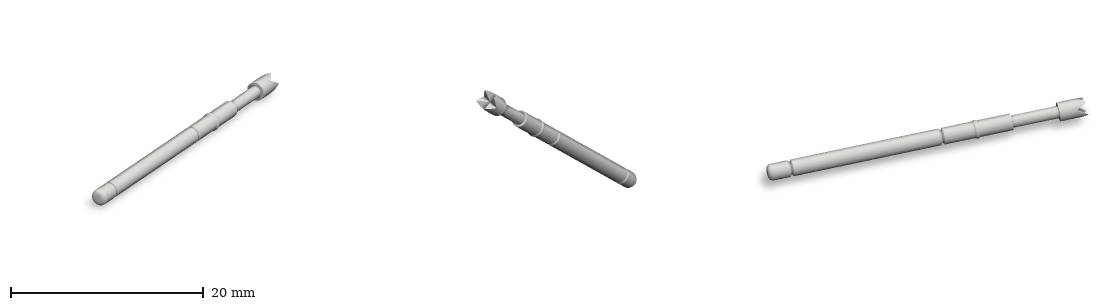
import cadquery as cq
import math

total_length = 34.0

head_diameter = 2.0
head_radius = head_diameter / 2
head_length = 3.0
head_start = total_length - head_length
stem_radius = 0.65
stem_length = 5.0

barrel_radius = 0.9
barrel_length = head_start - stem_length
tail_fillet = 0.5

ring_radius = 1.0
ring_width = 0.5
ring_position = 22.25

groove_depth = 0.25
groove_width = 0.4
groove_positions = (2.48, 18.55)

notch_included_angle = 60
notch_directions = (45, 135)
notch_half_width = head_radius * math.sin(math.radians(45))
notch_depth = notch_half_width / math.tan(math.radians(notch_included_angle / 2))


def make_rod(radius, start, length):
    """Cylinder around the Y axis, running from Y = start toward +Y."""
    return cq.Workplane("XZ", origin=(0, start, 0)).circle(radius).extrude(-length)


def revolve_about_axis(profile):
    """Turn an open (radius, Y) outline into a solid around the Y axis."""
    return profile.close().revolve(360, (0, 0, 0), (0, 1, 0))


def make_barrel():
    barrel = make_rod(barrel_radius, 0, barrel_length)
    return barrel.faces("<Y").edges().fillet(tail_fillet)


def make_plunger():
    stem = make_rod(stem_radius, barrel_length, stem_length)
    head = make_rod(head_radius, head_start, head_length)
    return stem.union(head)


def make_press_ring():
    low = ring_position - ring_width / 2
    high = ring_position + ring_width / 2
    profile = (
        cq.Workplane("XY")
        .moveTo(0, low)
        .lineTo(barrel_radius, low)
        .threePointArc((ring_radius, ring_position), (barrel_radius, high))
        .lineTo(0, high)
    )
    return revolve_about_axis(profile)


def make_groove_cutter(position):
    profile = cq.Workplane("XY").polyline([
        (barrel_radius, position - groove_width / 2),
        (barrel_radius, position + groove_width / 2),
        (barrel_radius - groove_depth, position),
    ])
    return revolve_about_axis(profile)


def make_notch_cutter(direction):
    """V prism across the whole head, turned about the Y axis."""
    prism = (
        cq.Workplane("XY")
        .polyline([
            (-notch_half_width, total_length),
            (notch_half_width, total_length),
            (0, total_length - notch_depth),
        ])
        .close()
        .extrude(2 * head_radius, both=True)
    )
    return prism.rotate((0, 0, 0), (0, 1, 0), direction)


result = make_barrel().union(make_plunger()).union(make_press_ring())
for groove_position in groove_positions:
    result = result.cut(make_groove_cutter(groove_position))
for notch_direction in notch_directions:
    result = result.cut(make_notch_cutter(notch_direction))